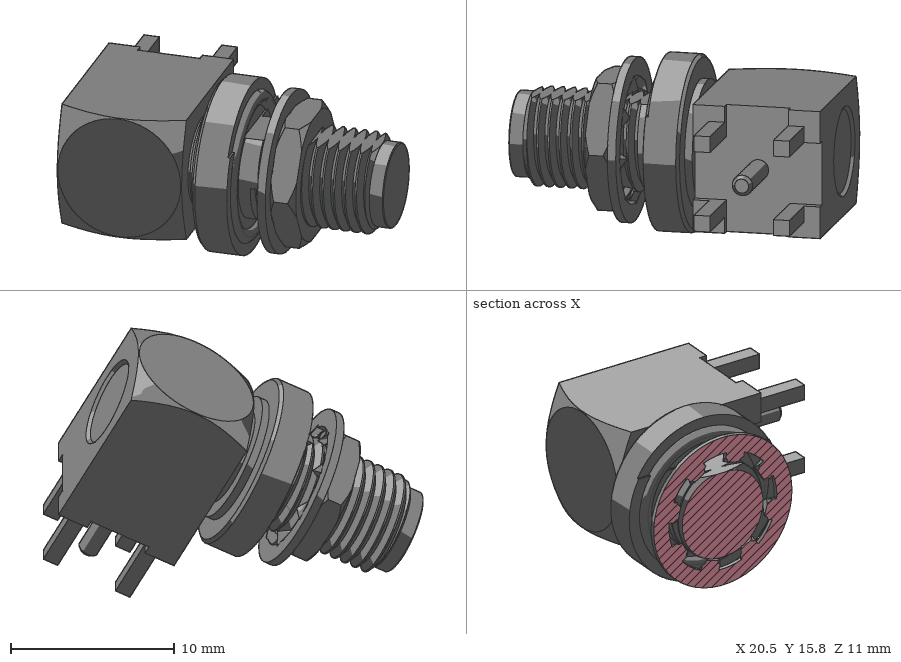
import cadquery as cq
import math


BODY_WIDTH = 8.0
BODY_FRONT_Y = -4.1
BODY_BACK_Y = 6.4
FOOT_SIZE = 2.0
FOOT_HEIGHT = 0.5
LEG_SIZE = 1.0
LEG_INSET = FOOT_SIZE - LEG_SIZE / 2
LEG_END_Y = 10.29
PIN_RADIUS = 0.64
PIN_CHAMFER = 0.2
FRONT_FACE_RADIUS = 3.95
FRONT_CONE_ANGLE = math.radians(30)
ENVELOPE_MARGIN = 0.1
RECESS_RADIUS = 2.8
RECESS_DEPTH = 0.2

BODY_CENTER_X = BODY_WIDTH / 2
NECK_RADIUS = 3.03
NECK_CHAMFER = 0.2
COLLAR_X = 8.62
COLLAR_RADIUS = 4.0
FLANGE_X = 9.1
FLANGE_END_X = 11.35
FLANGE_RADIUS = 5.5
FLANGE_CHAMFER = 0.2
TIP_X = 19.6
TIP_END_X = 20.5
TIP_RADIUS = 2.66
TIP_CHAMFER = 0.06
FLAT_X = 11.21
FLAT_Z = 2.67

O_RING_X = 11.13
O_RING_CENTER_RADIUS = 4.3
O_RING_SECTION_RADIUS = 0.5

MM_PER_INCH = 25.4
TURNS_PER_INCH = 36
THREAD_RADIUS = MM_PER_INCH / 8
THREAD_ROOT_RADIUS = 2.7
THREAD_PITCH = MM_PER_INCH / TURNS_PER_INCH
THREAD_START_X = 12.38
THREAD_END_CHAMFER_LENGTH = 0.4
GROOVE_WIDTH = 0.6
GROOVE_CLEARANCE = 0.05
CYLINDRICAL_HELIX = 360
ROD_SEAM_ANGLE = 37

WASHER_X = 13.17
WASHER_THICKNESS = 0.53
WASHER_RADIUS = 5.1
WASHER_BORE_RADIUS = 3.95
TOOTH_COUNT = 8
TOOTH_TIP_RADIUS = 3.25
TOOTH_ROOT_WIDTH = 1.5
TOOTH_TIP_WIDTH = 1.3
TOOTH_THICKNESS = 0.5
TOOTH_TWIST = 35
TOOTH_ANGLE = 76
TOOTH_ROOT_OVERLAP = 0.15

NUT_X = WASHER_X + WASHER_THICKNESS
NUT_END_X = 15.35
NUT_ACROSS_FLATS = 8.0
NUT_FACE_RADIUS = 4.12
NUT_CHAMFER_LENGTH = 0.38


def box(x_range, y_range, z_range):
    """Box between the given limits on each axis."""
    ranges = (x_range, y_range, z_range)
    size = [high - low for low, high in ranges]
    corner = cq.Vector(*[low for low, high in ranges])
    return cq.Workplane(cq.Solid.makeBox(*size, corner))


def turned(profile):
    """Revolve a list of (x, radius) points about the X axis."""
    return cq.Workplane("XY").polyline(profile).close().revolve(360, (0, 0, 0), (1, 0, 0))


def make_body():
    half = BODY_WIDTH / 2
    body = box((0, BODY_WIDTH), (BODY_FRONT_Y, BODY_BACK_Y), (-half, half))

    outer_radius = half * math.sqrt(2) + ENVELOPE_MARGIN
    cone_length = (outer_radius - FRONT_FACE_RADIUS) * math.tan(FRONT_CONE_ANGLE)
    envelope = (
        cq.Workplane("XY")
        .polyline([
            (0, BODY_FRONT_Y),
            (FRONT_FACE_RADIUS, BODY_FRONT_Y),
            (outer_radius, BODY_FRONT_Y + cone_length),
            (outer_radius, BODY_BACK_Y),
            (0, BODY_BACK_Y),
        ])
        .close()
        .revolve(360, (0, 0, 0), (0, 1, 0))
        .translate((BODY_CENTER_X, 0, 0))
    )
    body = body.intersect(envelope)

    channel_y = (BODY_BACK_Y - FOOT_HEIGHT, BODY_BACK_Y)
    channel_half = half - FOOT_SIZE
    channel_x = (FOOT_SIZE, BODY_WIDTH - FOOT_SIZE)
    body = body.cut(box(channel_x, channel_y, (-half, half)))
    body = body.cut(box((0, BODY_WIDTH), channel_y, (-channel_half, channel_half)))

    recess = turned([
        (0, 0),
        (0, RECESS_RADIUS),
        (RECESS_DEPTH, RECESS_RADIUS - RECESS_DEPTH),
        (RECESS_DEPTH, 0),
    ])
    return body.cut(recess)


def make_legs():
    legs = cq.Workplane("XY")
    leg_y = (BODY_BACK_Y - FOOT_HEIGHT, LEG_END_Y)
    leg_reach = BODY_WIDTH / 2 - LEG_INSET
    for x_side in (-1, 1):
        for z_side in (-1, 1):
            x = BODY_CENTER_X + x_side * leg_reach
            z = z_side * leg_reach
            x_range = (x - LEG_SIZE / 2, x + LEG_SIZE / 2)
            z_range = (z - LEG_SIZE / 2, z + LEG_SIZE / 2)
            legs = legs.add(box(x_range, leg_y, z_range))
    return legs.combine()


def make_pin():
    return (
        cq.Workplane("XZ", origin=(BODY_CENTER_X, LEG_END_Y, 0))
        .circle(PIN_RADIUS)
        .extrude(LEG_END_Y)
        .faces(">Y")
        .chamfer(PIN_CHAMFER)
    )


def sweep_groove(height, cone_angle=CYLINDRICAL_HELIX):
    """V groove swept along a helix about Z that starts at the thread crest on +X."""
    helix = cq.Wire.makeHelix(THREAD_PITCH, height, THREAD_RADIUS, angle=cone_angle)
    depth = THREAD_RADIUS - THREAD_ROOT_RADIUS
    outer_radius = THREAD_RADIUS + GROOVE_CLEARANCE
    outer_half = GROOVE_WIDTH / 2 * (depth + GROOVE_CLEARANCE) / depth
    return (
        cq.Workplane("XZ")
        .polyline([
            (THREAD_ROOT_RADIUS, 0),
            (outer_radius, outer_half),
            (outer_radius, -outer_half),
        ])
        .close()
        .sweep(cq.Workplane(helix), isFrenet=True)
    )


def lay_on_barrel(groove):
    """Turn a groove built about Z onto the X axis, so that its start lies at -Z."""
    return groove.rotate((0, 0, 0), (0, 1, 0), 90).translate((THREAD_START_X, 0, 0))


def make_thread_groove():
    """Full-depth groove running past the end of the threaded length."""
    length = TIP_X + THREAD_PITCH / 2 - THREAD_START_X
    return lay_on_barrel(sweep_groove(length))


def make_thread_run_in():
    """Quarter turn ahead of the full groove, rising out of the rod on a conical helix."""
    height = THREAD_PITCH / 4
    rise = THREAD_RADIUS - THREAD_ROOT_RADIUS
    cone_angle = math.degrees(math.atan2(rise, height))
    return lay_on_barrel(sweep_groove(height, cone_angle).rotate((0, 0, 0), (1, 0, 0), 180))


def make_o_ring():
    return (
        cq.Workplane("XY")
        .center(O_RING_X, O_RING_CENTER_RADIUS)
        .circle(O_RING_SECTION_RADIUS)
        .revolve(360, (0, -O_RING_CENTER_RADIUS, 0), (1, -O_RING_CENTER_RADIUS, 0))
    )


def make_flange():
    """Neck, collar and flange between the body and the thread."""
    return turned([
        (BODY_CENTER_X, 0),
        (BODY_CENTER_X, NECK_RADIUS - NECK_CHAMFER),
        (BODY_WIDTH, NECK_RADIUS - NECK_CHAMFER),
        (BODY_WIDTH + NECK_CHAMFER, NECK_RADIUS),
        (COLLAR_X, NECK_RADIUS),
        (COLLAR_X, COLLAR_RADIUS),
        (FLANGE_X, COLLAR_RADIUS),
        (FLANGE_X, FLANGE_RADIUS - FLANGE_CHAMFER),
        (FLANGE_X + FLANGE_CHAMFER, FLANGE_RADIUS),
        (FLANGE_END_X, FLANGE_RADIUS),
        (FLANGE_END_X, 0),
    ])


def make_threaded_end():
    """Thread with its plain tip, turned from a rod longer than the groove."""
    rod = (
        cq.Workplane("YZ", origin=(FLANGE_X, 0, 0))
        .circle(THREAD_RADIUS)
        .extrude(TIP_END_X + THREAD_PITCH - FLANGE_X)
        .rotate((0, 0, 0), (1, 0, 0), ROD_SEAM_ANGLE)
    )
    outer_radius = THREAD_RADIUS + GROOVE_CLEARANCE
    envelope = turned([
        (FLANGE_X, 0),
        (FLANGE_X, outer_radius),
        (TIP_X - THREAD_END_CHAMFER_LENGTH, outer_radius),
        (TIP_X, TIP_RADIUS),
        (TIP_END_X - TIP_CHAMFER, TIP_RADIUS),
        (TIP_END_X, TIP_RADIUS - TIP_CHAMFER),
        (TIP_END_X, 0),
    ])
    rod = rod.cut(make_thread_groove()).cut(make_thread_run_in())
    return rod.intersect(envelope)


def make_barrel():
    flat = box((FLAT_X, TIP_END_X), (-FLANGE_RADIUS, FLANGE_RADIUS), (FLAT_Z, FLANGE_RADIUS))
    return make_flange().cut(flat).union(make_threaded_end().cut(flat))


def make_washer_tooth():
    """Tooth pointing at the axis from +Y, twisting towards its tip."""
    root_radius = WASHER_BORE_RADIUS + TOOTH_ROOT_OVERLAP
    center_x = WASHER_X + WASHER_THICKNESS / 2
    return (
        cq.Workplane("XZ", origin=(center_x, root_radius, 0))
        .rect(TOOTH_THICKNESS, TOOTH_ROOT_WIDTH)
        .workplane(offset=root_radius - TOOTH_TIP_RADIUS)
        .transformed(rotate=(0, 0, TOOTH_TWIST))
        .rect(TOOTH_THICKNESS, TOOTH_TIP_WIDTH)
        .loft(ruled=True)
    )


def make_washer():
    washer = (
        cq.Workplane("YZ", origin=(WASHER_X, 0, 0))
        .circle(WASHER_RADIUS)
        .circle(WASHER_BORE_RADIUS)
        .extrude(WASHER_THICKNESS)
    )
    tooth = make_washer_tooth()
    for index in range(TOOTH_COUNT):
        angle = TOOTH_ANGLE + index * 360 / TOOTH_COUNT
        washer = washer.union(tooth.rotate((0, 0, 0), (1, 0, 0), angle))
    return washer


def make_nut():
    corner_radius = NUT_ACROSS_FLATS / math.sqrt(3)
    nut = (
        cq.Workplane("YZ", origin=(NUT_X, 0, 0))
        .polygon(6, 2 * corner_radius)
        .extrude(NUT_END_X - NUT_X)
    )
    envelope = turned([
        (NUT_X, 0),
        (NUT_X, NUT_FACE_RADIUS),
        (NUT_X + NUT_CHAMFER_LENGTH, corner_radius),
        (NUT_END_X - NUT_CHAMFER_LENGTH, corner_radius),
        (NUT_END_X, NUT_FACE_RADIUS),
        (NUT_END_X, 0),
    ])
    return nut.intersect(envelope)


result = (
    make_body()
    .union(make_legs())
    .union(make_pin())
    .union(make_barrel())
    .union(make_o_ring())
    .union(make_nut())
    .union(make_washer())
)